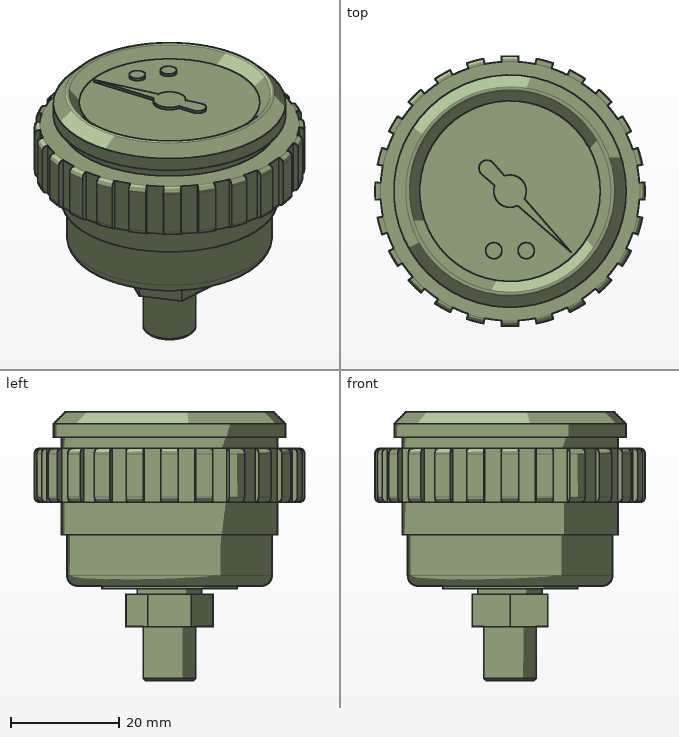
import cadquery as cq
import math


stem_height = 10.0
nut_height = 6.0
neck_height = 1.0
pad_height = 0.5
case_height = 9.5
collar_height = 6.0
grip_height = 10.0
groove_height = 2.0
bezel_height = 2.5

stem_diameter = 9.75
nut_sides = 6
nut_across_flats = 14.0
neck_diameter = 12.0
pad_diameter = 25.0
case_diameter = 38.0
collar_diameter = 40.0
grip_diameter = 48.0
rib_diameter = 50.0
bezel_diameter = 43.0

stem_chamfer = 0.5
case_fillet = 2.0
rib_fillet = 1.0

rib_count = 24
rib_pitch = 360.0 / rib_count
rib_angle = rib_pitch / 2

rim_diameter = 38.0
rim_fillet = 0.5
dial_depth = 2.3

dial_mark_thickness = 0.5
pointer_direction = -45.0
hub_diameter = 6.0
tail_diameter = 3.0
tail_reach = 6.0
tip_reach = 16.0
pin_diameter = 3.0
pin_spacing = 6.0
pin_offset = 11.0

nut_base = stem_height
neck_base = nut_base + nut_height
pad_base = neck_base + neck_height
case_base = pad_base + pad_height
collar_base = case_base + case_height
grip_base = collar_base + collar_height
groove_base = grip_base + grip_height
bezel_base = groove_base + groove_height
cone_base = bezel_base + bezel_height
crest_level = cone_base + (bezel_diameter - rim_diameter) / 2
dial_level = crest_level - dial_depth


def disc(diameter, base, height):
    return cq.Workplane("XY").workplane(offset=base).circle(diameter / 2).extrude(height)


def make_fitting():
    """Stem, hexagonal nut with corners on the Y axis, neck and pad."""
    stem = disc(stem_diameter, 0, stem_height).faces("<Z").chamfer(stem_chamfer)
    nut_across_corners = nut_across_flats / math.cos(math.pi / nut_sides)
    nut = (
        cq.Workplane("XY")
        .workplane(offset=nut_base)
        .transformed(rotate=(0, 0, 90))
        .polygon(nut_sides, nut_across_corners)
        .extrude(nut_height)
    )
    neck = disc(neck_diameter, neck_base, neck_height)
    pad = disc(pad_diameter, pad_base, pad_height)
    return stem.union(nut).union(neck).union(pad)


def make_case():
    """Round-bottomed case, wider collar, grip ring and the groove below the bezel."""
    case = disc(case_diameter, case_base, case_height).faces("<Z").edges().fillet(case_fillet)
    collar = disc(collar_diameter, collar_base, collar_height)
    grip = disc(grip_diameter, grip_base, grip_height)
    groove = disc(collar_diameter, groove_base, groove_height)
    return case.union(collar).union(grip).union(groove)


def make_rib():
    """One grip rib on the +X side: a ring sector with rounded top and bottom edges."""
    outer_radius = rib_diameter / 2
    inner_radius = collar_diameter / 2
    return (
        cq.Workplane("XZ")
        .moveTo(inner_radius, grip_base)
        .lineTo(outer_radius - rib_fillet, grip_base)
        .radiusArc((outer_radius, grip_base + rib_fillet), -rib_fillet)
        .lineTo(outer_radius, groove_base - rib_fillet)
        .radiusArc((outer_radius - rib_fillet, groove_base), -rib_fillet)
        .lineTo(inner_radius, groove_base)
        .close()
        .revolve(rib_angle, (0, 0, 0), (0, 1, 0))
        .rotate((0, 0, 0), (0, 0, 1), -rib_angle / 2)
    )


def make_bezel():
    """Bezel with a conical outside, a rounded crest and a conical recess down to the dial."""
    rim_radius = rim_diameter / 2
    bezel = (
        cq.Workplane("XZ")
        .moveTo(0, bezel_base)
        .lineTo(bezel_diameter / 2, bezel_base)
        .lineTo(bezel_diameter / 2, cone_base)
        .lineTo(rim_radius, crest_level)
        .lineTo(rim_radius - dial_depth, dial_level)
        .lineTo(0, dial_level)
        .close()
        .revolve(360, (0, 0, 0), (0, 1, 0))
    )
    return bezel.edges(">Z").fillet(rim_fillet)


def make_pointer():
    """Hub with a wedge that runs from a round tail, tangent to it, to a sharp tip."""
    tail_radius = tail_diameter / 2
    taper = math.asin(tail_radius / (tail_reach + tip_reach))
    tangent_x = -tail_reach + tail_radius * math.sin(taper)
    tangent_y = tail_radius * math.cos(taper)
    blade = (
        cq.Workplane("XY")
        .workplane(offset=dial_level)
        .moveTo(tip_reach, 0)
        .lineTo(tangent_x, tangent_y)
        .threePointArc((-tail_reach - tail_radius, 0), (tangent_x, -tangent_y))
        .close()
        .extrude(dial_mark_thickness)
        .rotate((0, 0, 0), (0, 0, 1), pointer_direction)
    )
    return blade.union(disc(hub_diameter, dial_level, dial_mark_thickness))


def make_pins():
    return (
        cq.Workplane("XY")
        .workplane(offset=dial_level)
        .pushPoints([(-pin_spacing / 2, -pin_offset), (pin_spacing / 2, -pin_offset)])
        .circle(pin_diameter / 2)
        .extrude(dial_mark_thickness)
    )


result = make_fitting().union(make_case())
rib = make_rib()
for index in range(rib_count):
    result = result.union(rib.rotate((0, 0, 0), (0, 0, 1), index * rib_pitch))
result = result.union(make_bezel()).union(make_pointer()).union(make_pins())